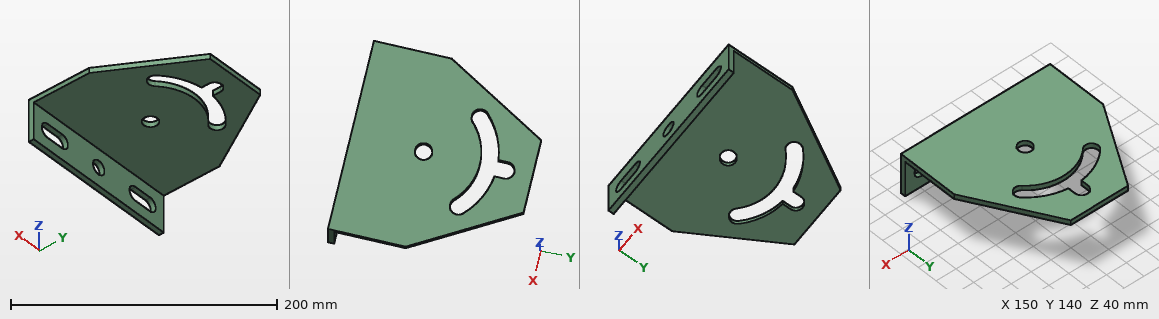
import cadquery as cq
import math

width = 150.0
depth = 140.0
height = 40.0
thickness = 5.0

straight_side = 60.0
taper_angle = 60.0

hole_diameter = 13.0
hole_radius = hole_diameter / 2

pivot_y = 56.1
arc_radius = 50.0
arc_half_angle = 45.0
notch_reach = 63.5

flange_hole_drop = 22.5
flange_slot_offset = 50.5
flange_slot_length = 30.0


def tapered_plate():
    taper_inset = (depth - straight_side) / math.tan(math.radians(taper_angle))
    half_width = width / 2
    half_rear = half_width - taper_inset
    outline = [
        (-half_width, 0),
        (half_width, 0),
        (half_width, straight_side),
        (half_rear, depth),
        (-half_rear, depth),
        (-half_width, straight_side),
    ]
    return cq.Workplane("XY").polyline(outline).close().extrude(-thickness)


def front_flange():
    return cq.Workplane("XY").box(width, thickness, height, centered=(True, False, False)).translate(
        (0, 0, -height)
    )


def arc_slot():
    """Curved slot around the pivot, symmetric about the centre plane."""
    def polar(radius, degrees):
        angle = math.radians(degrees)
        return (radius * math.sin(angle), pivot_y + radius * math.cos(angle))

    outer = arc_radius + hole_radius
    inner = arc_radius - hole_radius
    band = (
        cq.Workplane("XY")
        .moveTo(*polar(outer, -arc_half_angle))
        .threePointArc(polar(outer, 0), polar(outer, arc_half_angle))
        .lineTo(*polar(inner, arc_half_angle))
        .threePointArc(polar(inner, 0), polar(inner, -arc_half_angle))
        .close()
        .extrude(-thickness)
    )
    end_centres = [polar(arc_radius, side * arc_half_angle) for side in (-1, 1)]
    ends = cq.Workplane("XY").pushPoints(end_centres).circle(hole_radius).extrude(-thickness)
    return band.union(ends)


def notch():
    """Straight, round-ended slot running outward from the arc slot."""
    length = notch_reach - arc_radius
    return (
        cq.Workplane("XY")
        .center(0, pivot_y + arc_radius + length / 2)
        .slot2D(length + hole_diameter, hole_diameter, 90)
        .extrude(-thickness)
    )


def pivot_hole():
    return cq.Workplane("XY").center(0, pivot_y).circle(hole_radius).extrude(-thickness)


def flange_cutouts():
    """Centre hole and two horizontal slots through the flange."""
    row = cq.Workplane("XZ").center(0, -flange_hole_drop)
    hole = row.circle(hole_radius).extrude(-thickness)
    slots = (
        row.pushPoints([(-flange_slot_offset, 0), (flange_slot_offset, 0)])
        .slot2D(flange_slot_length, hole_diameter)
        .extrude(-thickness)
    )
    return hole.union(slots)


result = (
    tapered_plate()
    .union(front_flange())
    .cut(arc_slot())
    .cut(notch())
    .cut(pivot_hole())
    .cut(flange_cutouts())
)